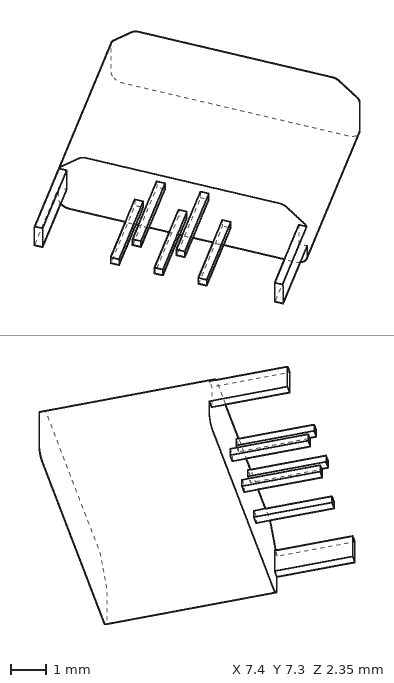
import cadquery as cq

body_width = 7.4
body_height = 2.35
body_length = 5.0
bevel_size = 0.7
upper_radius = 0.3
lower_radius = 0.35

lead_length = 2.295
pin_size = 0.25
pin_pitch = 0.65
lower_pin_z = 0.94
upper_pin_z = 1.94
tab_thickness = 0.25
tab_bottom_z = 0.815
tab_height = 0.815

half_width = body_width / 2


def shell_prism(front_y, back_y):
    """Extrude the rounded shell outline between two Y positions."""
    shoulder_z = body_height - bevel_size
    top_half_width = half_width - bevel_size
    outline = [
        (-half_width, 0),
        (half_width, 0),
        (half_width, shoulder_z),
        (top_half_width, body_height),
        (-top_half_width, body_height),
        (-half_width, shoulder_z),
    ]
    return (
        cq.Workplane("XZ", origin=(0, back_y, 0))
        .polyline(outline)
        .close()
        .extrude(back_y - front_y)
        .edges("|Y")
        .edges("not <Z")
        .fillet(upper_radius)
        .edges("|Y")
        .edges("<Z")
        .fillet(lower_radius)
    )


def lead(center_x, center_z, width, height):
    """Make a rectangular bar from the front face toward -Y."""
    return (
        cq.Workplane("XZ")
        .center(center_x, center_z)
        .rect(width, height)
        .extrude(lead_length)
    )


result = shell_prism(0, body_length)

lower_pins = [(column * pin_pitch, lower_pin_z) for column in (-2, 0, 2)]
upper_pins = [(column * pin_pitch, upper_pin_z) for column in (-1, 1)]
for pin_x, pin_z in lower_pins + upper_pins:
    result = result.union(lead(pin_x, pin_z, pin_size, pin_size))

tab_envelope = shell_prism(-lead_length, 0)
tab_center_x = half_width - tab_thickness / 2
tab_center_z = tab_bottom_z + tab_height / 2
for side in (-1, 1):
    tab = lead(side * tab_center_x, tab_center_z, tab_thickness, tab_height)
    result = result.union(tab.intersect(tab_envelope))